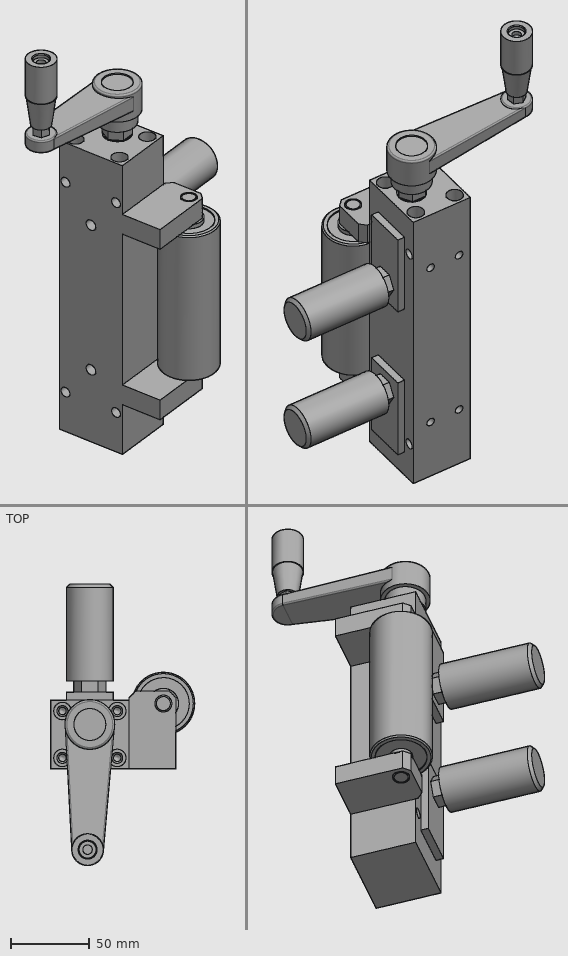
import cadquery as cq
import math

BODY_X = 50.0
BODY_Y = 44.0
BODY_Z = 220.0
MID_X = BODY_X / 2
MID_Z = BODY_Z / 2

DRILL_TIP_ANGLE = 118
MOUNT_DIA = 7.0
MOUNT_EDGE = 4.8
MOUNT_PITCH_X = 40.0
MOUNT_PITCH_Z = 159.8
FRONT_HOLE_DIA = 7.5
FRONT_HOLE_PITCH = 110.2
FRONT_HOLE_DEPTH = 10.0
SIDE_HOLE_DIA = 5.7
SIDE_HOLE_Y = (8.5, 30.5)
SIDE_HOLE_DEPTH = 10.0
BORE_DIA = 11.0
BORE_DEPTH = 10.0
PILOT_DIA = 4.8
PILOT_MOUTH_DIA = 7.0
PILOT_MOUTH_DEPTH = 1.3
PILOT_DEPTH = 8.0
BORE_PITCH_X = 35.0
BORE_PITCH_Y = 30.0

LUG_REACH = 30.0
LUG_Y = 49.7
LUG_THICK = 15.0
LUG_CHAMFER = 4.0
LUG_CENTRES_Z = (45.5, 175.5)
ROLLER_DIA = 40.0
ROLLER_X = 72.0
ROLLER_Y = 41.7
ROLLER_BOTTOM = 55.5
ROLLER_LENGTH = 110.5
ROLLER_CHAMFER = 1.0
ROLLER_RECESS_DIA = 33.0
ROLLER_RECESS_DEPTH = 1.0
PIN_DIA = 10.8
PIN_CHAMFER = 1.0
UPPER_COLLAR_DIA = 19.5
LOWER_COLLAR_DIA = 15.0

PLATE_X = 30.0
PLATE_THICK = 5.0
PLATE_Z = 60.5
PLATE_OFFSET_Z = 60.2
GRIP_DIA = 30.0
GRIP_OFFSET_Z = 45.2
GRIP_START = 56.0
GRIP_END = 118.0
GRIP_CHAMFER = 2.2
GRIP_HEX = 20.7

HUB_Y = 28.3
SPINDLE_FLANGE_DIA = 19.0
SPINDLE_FLANGE_THICK = 0.5
SPINDLE_HEX = 19.7
SPINDLE_HEX_TURN = 30
COLLAR_DIA = 26.5
COLLAR_BOTTOM = 229.5
HUB_DIA = 31.8
HUB_BOTTOM = 239.0
HUB_TOP = 259.5
HUB_FILLET = 1.3
HUB_RECESS_DIA = 20.5
HUB_RECESS_DEPTH = 1.0

ARM_END_X = 23.5
ARM_END_Y = -51.5
ARM_END_DIA = 20.5
ARM_END_BOTTOM = 252.8
ARM_END_TOP = 262.0
ARM_SLOPE = 0.07
ARM_HUB_DIA = 31.5
ARM_HUB_BOTTOM = 244.2
ARM_HUB_TOP = 256.3
ARM_FILLET = 1.0

HANDLE_TOP = 318.5
HANDLE_TAPER_TOP = 290.0
HANDLE_BOTTOM = 268.5
HANDLE_TAPER_DIA = 19.5
HANDLE_FOOT_DIA = 13.7
HANDLE_HEX = 12.0
HANDLE_HEX_TURN = 8
HANDLE_RECESS_DIA = 10.8
HANDLE_RECESS_CHAMFER = 0.5
HANDLE_RECESS_DEPTH = 3.0
HANDLE_SOCKET_DIA = 6.0
HANDLE_SOCKET_DEPTH = 3.0


def cylinder(x, y, bottom, top, diameter):
    """Upright cylinder between two heights."""
    return cq.Workplane("XY", origin=(x, y, bottom)).circle(diameter / 2).extrude(top - bottom)


def hexagon(x, y, bottom, top, across_corners, turn):
    """Upright hexagonal prism, turned about its own axis."""
    prism = cq.Workplane("XY").polygon(6, across_corners).extrude(top - bottom)
    return prism.rotate((0, 0, 0), (0, 0, 1), turn).translate((x, y, bottom))


def drill(start, direction, diameter, depth):
    """Blind hole cutter with a conical bottom."""
    radius = diameter / 2
    tip = radius / math.tan(math.radians(DRILL_TIP_ANGLE / 2))
    point = cq.Vector(*start)
    axis = cq.Vector(*direction)
    shank = cq.Solid.makeCylinder(radius, depth, point, axis)
    cone = cq.Solid.makeCone(radius, 0, tip, point + axis * depth, axis)
    return cq.Workplane(shank.fuse(cone))


def make_housing():
    body = cq.Workplane("XY").box(BODY_X, BODY_Y, BODY_Z, centered=False)
    for z in LUG_CENTRES_Z:
        lug = cq.Workplane("XY", origin=(BODY_X, 0, z - LUG_THICK / 2))
        lug = lug.box(LUG_REACH, LUG_Y, LUG_THICK, centered=False)
        body = body.union(lug.edges("|Z and >Y").chamfer(LUG_CHAMFER))
    return body


def drill_housing(body):
    for x in (MOUNT_EDGE, MOUNT_EDGE + MOUNT_PITCH_X):
        for z in (MID_Z - MOUNT_PITCH_Z / 2, MID_Z + MOUNT_PITCH_Z / 2):
            hole = cq.Solid.makeCylinder(MOUNT_DIA / 2, BODY_Y, cq.Vector(x, 0, z), cq.Vector(0, 1, 0))
            body = body.cut(cq.Workplane(hole))
    for z in (MID_Z - FRONT_HOLE_PITCH / 2, MID_Z + FRONT_HOLE_PITCH / 2):
        body = body.cut(drill((MID_X, 0, z), (0, 1, 0), FRONT_HOLE_DIA, FRONT_HOLE_DEPTH))
    for y in SIDE_HOLE_Y:
        for z in LUG_CENTRES_Z:
            body = body.cut(drill((0, y, z), (1, 0, 0), SIDE_HOLE_DIA, SIDE_HOLE_DEPTH))
    floor = BODY_Z - BORE_DEPTH
    for x in (MID_X - BORE_PITCH_X / 2, MID_X + BORE_PITCH_X / 2):
        for y in (BODY_Y / 2 - BORE_PITCH_Y / 2, BODY_Y / 2 + BORE_PITCH_Y / 2):
            body = body.cut(cylinder(x, y, floor, BODY_Z, BORE_DIA))
            body = body.cut(drill((x, y, floor), (0, 0, -1), PILOT_DIA, PILOT_DEPTH))
            mouth = cq.Solid.makeCone(
                PILOT_MOUTH_DIA / 2,
                PILOT_DIA / 2,
                PILOT_MOUTH_DEPTH,
                cq.Vector(x, y, floor),
                cq.Vector(0, 0, -1),
            )
            body = body.cut(cq.Workplane(mouth))
    return body


def make_roller():
    """Roller with recessed ends, a collar at each end and the pin through both lugs."""
    top = ROLLER_BOTTOM + ROLLER_LENGTH
    pin_bottom = LUG_CENTRES_Z[0] - LUG_THICK / 2
    pin_top = LUG_CENTRES_Z[1] + LUG_THICK / 2
    roller = cylinder(ROLLER_X, ROLLER_Y, ROLLER_BOTTOM, top, ROLLER_DIA)
    roller = roller.faces("<Z or >Z").edges().chamfer(ROLLER_CHAMFER)
    for start in (ROLLER_BOTTOM, top - ROLLER_RECESS_DEPTH):
        recess = cylinder(ROLLER_X, ROLLER_Y, start, start + ROLLER_RECESS_DEPTH, ROLLER_RECESS_DIA)
        roller = roller.cut(recess)
    upper_lug_face = pin_top - LUG_THICK
    lower_lug_face = pin_bottom + LUG_THICK
    roller = roller.union(
        cylinder(ROLLER_X, ROLLER_Y, top - ROLLER_RECESS_DEPTH, upper_lug_face, UPPER_COLLAR_DIA))
    roller = roller.union(
        cylinder(ROLLER_X, ROLLER_Y, lower_lug_face, ROLLER_BOTTOM + ROLLER_RECESS_DEPTH, LOWER_COLLAR_DIA))
    pin = cylinder(ROLLER_X, ROLLER_Y, pin_bottom, pin_top, PIN_DIA)
    pin = pin.faces("<Z or >Z").edges().chamfer(PIN_CHAMFER)
    return roller, pin


def make_clamp(side):
    """Rear plate, hexagonal neck and grip; side is -1 for the lower set, +1 for the upper."""
    plate = cq.Workplane("XY", origin=(MID_X, BODY_Y + PLATE_THICK / 2, MID_Z + side * PLATE_OFFSET_Z))
    plate = plate.box(PLATE_X, PLATE_THICK, PLATE_Z)
    grip_z = MID_Z + side * GRIP_OFFSET_Z
    plate_back = BODY_Y + PLATE_THICK
    neck = cq.Workplane("XZ", origin=(MID_X, plate_back, grip_z))
    neck = neck.polygon(6, GRIP_HEX).extrude(plate_back - GRIP_START)
    grip = cq.Workplane("XZ", origin=(MID_X, GRIP_START, grip_z))
    grip = grip.circle(GRIP_DIA / 2).extrude(GRIP_START - GRIP_END)
    grip = grip.faces(">Y").edges().chamfer(GRIP_CHAMFER)
    return plate.union(neck).union(grip)


def make_spindle_and_hub():
    spindle = cylinder(MID_X, HUB_Y, BODY_Z, BODY_Z + SPINDLE_FLANGE_THICK, SPINDLE_FLANGE_DIA)
    spindle = spindle.union(hexagon(MID_X, HUB_Y, BODY_Z, COLLAR_BOTTOM, SPINDLE_HEX, SPINDLE_HEX_TURN))
    collar = cylinder(MID_X, HUB_Y, COLLAR_BOTTOM, HUB_BOTTOM, COLLAR_DIA)
    hub = cylinder(MID_X, HUB_Y, HUB_BOTTOM, HUB_TOP, HUB_DIA)
    hub = hub.faces(">Z").edges().fillet(HUB_FILLET)
    recess = cylinder(MID_X, HUB_Y, HUB_TOP - HUB_RECESS_DEPTH, HUB_TOP, HUB_RECESS_DIA)
    return spindle.union(collar), hub, recess


def make_arm():
    """Arm whose sides run almost tangent from the hub to the small end, rising towards the small end."""
    hub_radius = ARM_HUB_DIA / 2
    end_radius = ARM_END_DIA / 2
    dx = ARM_END_X - MID_X
    dy = ARM_END_Y - HUB_Y
    heading = math.atan2(dy, dx)
    spread = math.acos((hub_radius - end_radius) / math.hypot(dx, dy))

    def tangent_point(x, y, radius, side):
        angle = heading + side * spread
        return x + radius * math.cos(angle), y + radius * math.sin(angle)

    outline = (
        cq.Workplane("XY", origin=(0, 0, HUB_BOTTOM))
        .moveTo(*tangent_point(MID_X, HUB_Y, hub_radius, -1))
        .lineTo(*tangent_point(ARM_END_X, ARM_END_Y, end_radius, -1))
        .lineTo(*tangent_point(ARM_END_X, ARM_END_Y, end_radius, 1))
        .lineTo(*tangent_point(MID_X, HUB_Y, hub_radius, 1))
        .close()
        .extrude(HANDLE_BOTTOM - HUB_BOTTOM)
    )
    rise = ARM_SLOPE * (HUB_Y - ARM_END_Y)
    profile = (
        cq.Workplane("YZ")
        .polyline([
            (HUB_Y, ARM_HUB_BOTTOM),
            (HUB_Y, ARM_HUB_TOP),
            (ARM_END_Y, ARM_HUB_TOP + rise),
            (ARM_END_Y, ARM_END_BOTTOM),
        ])
        .close()
        .extrude(BODY_X)
    )
    end = cylinder(ARM_END_X, ARM_END_Y, ARM_END_BOTTOM, ARM_END_TOP, ARM_END_DIA)
    end = end.faces("<Z or >Z").edges().fillet(ARM_FILLET)
    arm = outline.intersect(profile)
    arm = arm.faces("<X or >X").edges("not |Z").fillet(ARM_FILLET)
    return arm.union(end)


def make_handle():
    """Turned handle with a hexagonal foot and a stepped recess in its top."""
    handle = (
        cq.Workplane("XZ")
        .moveTo(0, HANDLE_BOTTOM)
        .lineTo(HANDLE_FOOT_DIA / 2, HANDLE_BOTTOM)
        .lineTo(HANDLE_TAPER_DIA / 2, HANDLE_TAPER_TOP)
        .lineTo(ARM_END_DIA / 2, HANDLE_TAPER_TOP)
        .lineTo(ARM_END_DIA / 2, HANDLE_TOP)
        .lineTo(0, HANDLE_TOP)
        .close()
        .revolve(360, (0, 0, 0), (0, 1, 0))
        .translate((ARM_END_X, ARM_END_Y, 0))
    )
    recess_floor = HANDLE_TOP - HANDLE_RECESS_DEPTH
    socket_floor = recess_floor - HANDLE_SOCKET_DEPTH
    handle = handle.cut(cylinder(ARM_END_X, ARM_END_Y, recess_floor, HANDLE_TOP, HANDLE_RECESS_DIA))
    recess_rim = cq.selectors.RadiusNthSelector(0)
    handle = handle.faces(">Z").edges(recess_rim).chamfer(HANDLE_RECESS_CHAMFER)
    handle = handle.cut(cylinder(ARM_END_X, ARM_END_Y, socket_floor, recess_floor, HANDLE_SOCKET_DIA))
    foot = hexagon(ARM_END_X, ARM_END_Y, ARM_END_TOP, HANDLE_BOTTOM, HANDLE_HEX, HANDLE_HEX_TURN)
    return handle.union(foot)


roller, pin = make_roller()
spindle, hub, hub_recess = make_spindle_and_hub()

pin_bore = cylinder(ROLLER_X, ROLLER_Y, 0, BODY_Z, PIN_DIA)
result = drill_housing(make_housing()).cut(pin_bore).union(roller).union(pin)
for side in (-1, 1):
    result = result.union(make_clamp(side))
result = result.union(spindle).union(hub).union(make_arm()).cut(hub_recess).union(make_handle())